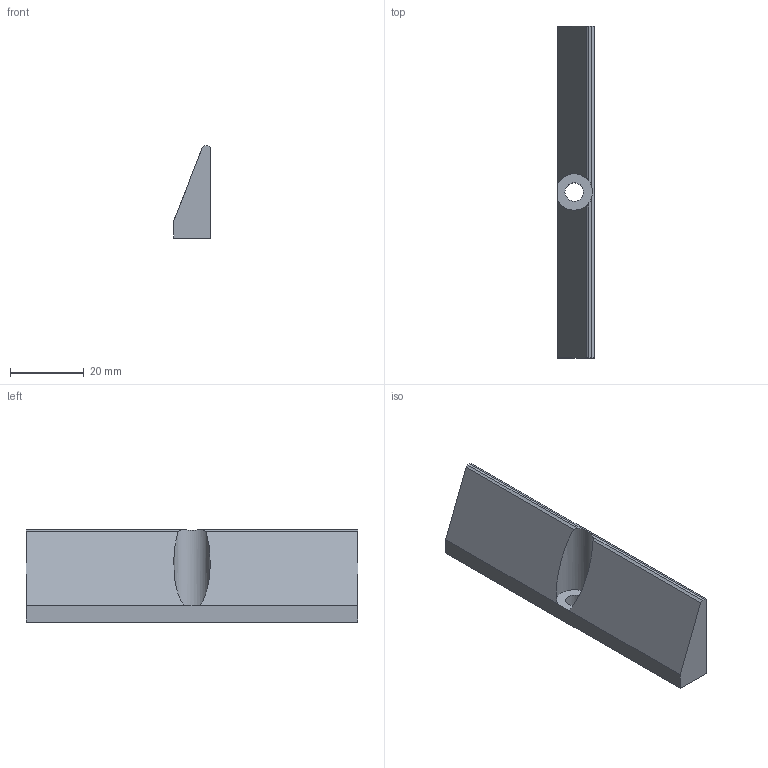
import cadquery as cq

WIDTH = 10.0
LENGTH = 90.0
HEIGHT = 25.0

TOE_HEIGHT = 4.5
CREST_WIDTH = 2.0
SLOPE_CHAMFER = 0.5
BACK_CHAMFER_WIDTH = 0.75
BACK_CHAMFER_DROP = 0.3

HOLE_DIAMETER = 5.0
HEAD_DIAMETER = 10.0
HOLE_FROM_FRONT = 4.5

FRONT_X = -WIDTH / 2
BACK_X = WIDTH / 2
CREST_FRONT_X = BACK_X - CREST_WIDTH
HOLE_X = FRONT_X + HOLE_FROM_FRONT


def wedge_bar():
    """Wedge section extruded along Y, with both crest edges chamfered."""
    section = [
        (FRONT_X, 0),
        (BACK_X, 0),
        (BACK_X, HEIGHT - BACK_CHAMFER_DROP),
        (BACK_X - BACK_CHAMFER_WIDTH, HEIGHT),
        (CREST_FRONT_X, HEIGHT),
        (FRONT_X, TOE_HEIGHT),
    ]
    bar = cq.Workplane("XZ").polyline(section).close().extrude(LENGTH / 2, both=True)
    slope_crest_edge = cq.selectors.NearestToPointSelector((CREST_FRONT_X, 0, HEIGHT))
    return bar.edges(slope_crest_edge).chamfer(SLOPE_CHAMFER)


def vertical_cylinder(diameter, bottom_z):
    """Cutter on the screw axis, from bottom_z up to the crest."""
    return (
        cq.Workplane("XY", origin=(HOLE_X, 0, bottom_z))
        .circle(diameter / 2)
        .extrude(HEIGHT - bottom_z)
    )


screw_hole = vertical_cylinder(HOLE_DIAMETER, 0)
head_clearance = vertical_cylinder(HEAD_DIAMETER, TOE_HEIGHT)

result = wedge_bar().cut(screw_hole).cut(head_clearance)